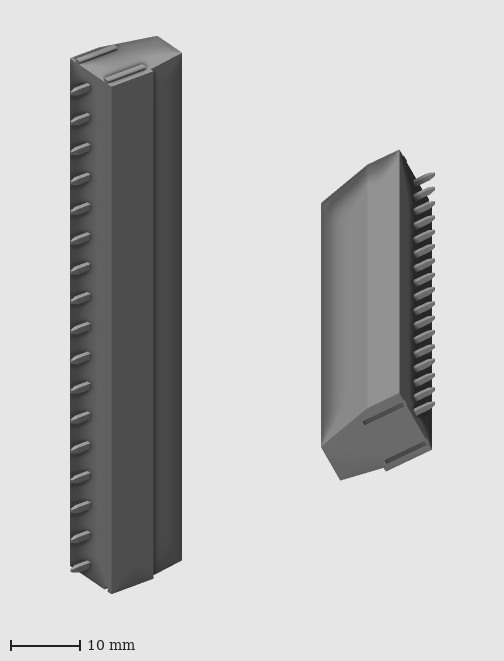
import cadquery as cq

width = 10.2
depth = 14.0
overall_depth = 17.3
overall_height = 85.6
rail_height = 0.6
body_height = overall_height - rail_height

back_left = 2.3
back_right = 8.4
left_slope_start = 5.2
ledge_depth = 7.5
ledge_inner = 9.5

rail_positions = (1.9, 8.8)
rail_length = 6.85
rail_head_width = 1.2
rail_neck_width = 0.7
rail_chamfer = 0.2
groove_depth = 0.7

pin_count = 17
pin_row_span = 79.9
pin_pitch = pin_row_span / (pin_count - 1)
pin_x = 4.8
pin_width = 0.8
pin_height = 0.9
pin_length = overall_depth - depth
pin_tip_length = 0.9
pin_tip_scale = 0.5
pin_embed = 0.85
first_pin_z = (body_height - pin_row_span) / 2


def make_housing():
    outline = [
        (0, 0),
        (width, 0),
        (width, ledge_depth),
        (ledge_inner, ledge_depth),
        (back_right, depth),
        (back_left, depth),
        (0, left_slope_start),
    ]
    return cq.Workplane("XY").polyline(outline).close().extrude(body_height)


def make_dovetail(center_x, base_z, height):
    """Bar starting at the front face, widening upwards from base_z."""
    half_neck = rail_neck_width / 2
    half_head = rail_head_width / 2
    section = [
        (-half_neck, 0),
        (half_neck, 0),
        (half_head, height),
        (-half_head, height),
    ]
    bar = cq.Workplane("XZ").polyline(section).close().extrude(-rail_length)
    return bar.translate((center_x, 0, base_z))


def make_rail(center_x):
    """Dovetail rail with bevelled long edges along its head."""
    rail = make_dovetail(center_x, body_height, rail_height)
    return rail.faces(">Z").edges("|Y").chamfer(rail_chamfer)


def make_pin(center_z):
    """Rectangular pin pointing to -Y with a tapered tip."""
    shank_length = pin_length - pin_tip_length
    shank = (
        cq.Workplane("XZ", origin=(pin_x, pin_embed, center_z))
        .rect(pin_width, pin_height)
        .extrude(pin_embed + shank_length)
    )
    tip = (
        cq.Workplane("XZ", origin=(pin_x, -shank_length, center_z))
        .rect(pin_width, pin_height)
        .workplane(offset=pin_tip_length)
        .rect(pin_width * pin_tip_scale, pin_height * pin_tip_scale)
        .loft(ruled=True)
    )
    return shank.union(tip)


result = make_housing()
for rail_x in rail_positions:
    result = result.union(make_rail(rail_x))
    result = result.cut(make_dovetail(rail_x, 0, groove_depth))
for index in range(pin_count):
    result = result.union(make_pin(first_pin_z + index * pin_pitch))